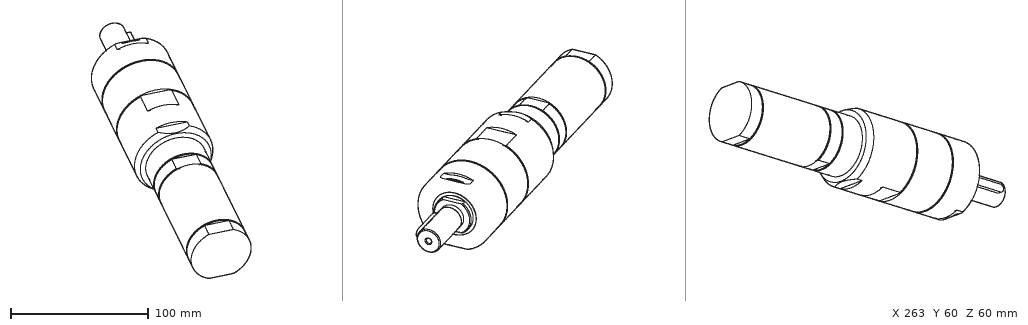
import cadquery as cq
import math


shaft_diameter = 19.0
shaft_neck_diameter = 18.8
shaft_neck_start = 36.0
shaft_tip_chamfer = 0.8

centre_hole_diameter = 4.13
centre_sink_diameter = 5.5
centre_hole_depth = 12.0
drill_point_angle = 118.0

key_start = 5.0
key_length = 32.0
key_width = 6.0
key_top = 12.3
key_depth = 6.0

collar_diameter = 29.95
collar_start = 40.0
collar_chamfer = 0.8
collar_flat_width = 24.6

body_diameter = 60.0
body_start = 43.9
body_end = 153.9
body_front_fillet = 1.4
body_taper_length = 4.9
body_taper_angle = 30.0
body_flat_width = 55.0
seal_recess_diameter = 35.0
seal_recess_depth = 0.4

front_flat_end = 50.8
sleeve_diameter = 56.6
sleeve_start = body_start + body_front_fillet

tube_diameter = 46.0
tube_flat_width = 42.0
total_length = 263.0

cutter_margin = 1.0

groove_width = 0.9
groove_depth = 0.25
body_groove_starts = [70.5, 105.6]
tube_groove_starts = [172.8, 184.8, 251.4]

body_flats = [(body_groove_starts[1], 123.8), (144.2, body_end)]
tube_flats = [
    (tube_groove_starts[0] + groove_width, tube_groove_starts[1] + groove_width),
    (tube_groove_starts[2] + groove_width, total_length),
]


def cylinder(diameter, start, end):
    """Solid cylinder about the X axis."""
    return cq.Workplane("YZ", origin=(start, 0, 0)).circle(diameter / 2).extrude(end - start)


def tube(outer_diameter, inner_diameter, start, end):
    """Hollow cylinder about the X axis."""
    return cylinder(outer_diameter, start, end).cut(cylinder(inner_diameter, start, end))


def beyond_flats(diameter, flat_width, start, end):
    """Material of a cylinder lying outside a pair of flats normal to Z."""
    slab = cq.Workplane("XY").box(end - start, 2 * diameter, flat_width)
    slab = slab.translate(((start + end) / 2, 0, 0))
    return cylinder(diameter + cutter_margin, start, end).cut(slab)


def cut_grooves(solid, diameter, starts):
    """Cut shallow square grooves around a cylinder of the given diameter."""
    for start in starts:
        ring = tube(diameter + cutter_margin, diameter - 2 * groove_depth, start, start + groove_width)
        solid = solid.cut(ring)
    return solid


def make_shaft():
    tip = cylinder(shaft_diameter, 0, shaft_neck_start).faces("<X").chamfer(shaft_tip_chamfer)
    neck = cylinder(shaft_neck_diameter, shaft_neck_start, collar_start)
    return tip.union(neck)


def make_centre_hole():
    sink_radius = centre_sink_diameter / 2
    hole_radius = centre_hole_diameter / 2
    sink_depth = sink_radius - hole_radius
    point_depth = hole_radius / math.tan(math.radians(drill_point_angle / 2))
    return (
        cq.Workplane("XY")
        .lineTo(0, sink_radius)
        .lineTo(sink_depth, hole_radius)
        .lineTo(centre_hole_depth, hole_radius)
        .lineTo(centre_hole_depth + point_depth, 0)
        .close()
        .revolve(360, (0, 0, 0), (1, 0, 0))
    )


def make_key():
    return (
        cq.Workplane("XZ", origin=(key_start + key_length / 2, key_top, 0))
        .slot2D(key_length, key_width)
        .extrude(key_depth)
    )


def make_collar():
    collar = cylinder(collar_diameter, collar_start, body_start + seal_recess_depth)
    collar = collar.faces("<X").chamfer(collar_chamfer)
    return collar.cut(beyond_flats(collar_diameter, collar_flat_width, collar_start, body_start))


def make_body():
    taper_drop = body_taper_length * math.tan(math.radians(body_taper_angle))
    body = cylinder(body_diameter, body_start, body_end)
    body = body.faces("<X").edges().fillet(body_front_fillet)
    body = body.faces(">X").edges().chamfer(body_taper_length, taper_drop)
    recess_floor = body_start + seal_recess_depth
    body = body.cut(tube(seal_recess_diameter, collar_diameter, body_start, recess_floor))
    body = body.cut(beyond_flats(body_diameter, body_flat_width, body_start, front_flat_end))
    body = body.union(cylinder(sleeve_diameter, sleeve_start, front_flat_end))
    for start, end in body_flats:
        body = body.cut(beyond_flats(body_diameter, body_flat_width, start, end))
    return cut_grooves(body, body_diameter, body_groove_starts)


def make_tube():
    rear = cylinder(tube_diameter, body_end, total_length)
    for start, end in tube_flats:
        rear = rear.cut(beyond_flats(tube_diameter, tube_flat_width, start, end))
    return cut_grooves(rear, tube_diameter, tube_groove_starts)


result = (
    make_body()
    .union(make_tube())
    .union(make_collar())
    .union(make_shaft())
    .union(make_key())
    .cut(make_centre_hole())
)